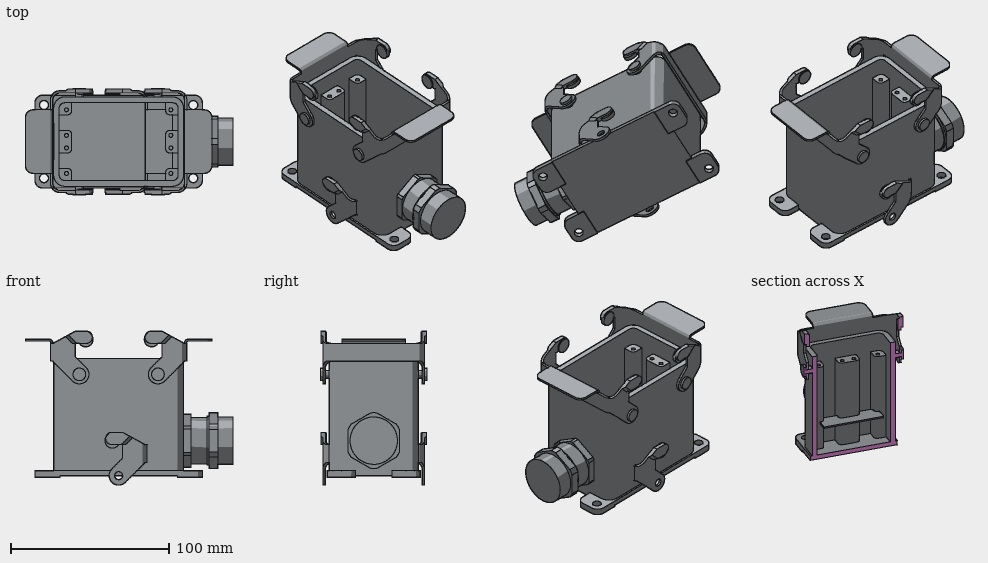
import cadquery as cq
import math

BOX_LENGTH = 82.0
BOX_WIDTH = 56.5
BOX_CORNER_RADIUS = 7.1
BOX_TOP = 75.1
CAVITY_LENGTH = 75.1
CAVITY_WIDTH = 49.1
CAVITY_CORNER_RADIUS = 3.4

FOOT_LENGTH = 106.0
FOOT_WIDTH = 58.8
FOOT_TOP = 4.2
FOOT_RECESS = 0.9
PAD_INNER_X = 37.0
PAD_GAP = 22.8
PAD_CORNER_RADIUS = 5.1
FOOT_HOLE_DIAMETER = 5.5
FOOT_HOLE_X = 47.1
FOOT_HOLE_Y = 23.1

BOSS_LENGTH = 7.9
CORNER_BOSS_WIDTH = 7.6
MIDDLE_BOSS_WIDTH = 14.3
BOSS_EDGE_RADIUS = 2.6
BOSS_DROP = 12.5
SCREW_HOLE_DIAMETER = 2.5
SCREW_HOLE_DEPTH = 10.5
SCREW_HOLE_X = 33.0
SCREW_HOLE_YS = (-20.1, -4.0, 4.0, 20.1)

PIN_X = 24.8
PIN_Z = 65.0
PIN_DIAMETER = 5.0
PIN_HEAD_DIAMETER = 8.0
PIN_SPAN = 67.4

SHEET = 1.6
LEVER_WIDTH = 64.3
LEVER_BEND_RADIUS = 5.9
EYE_RADIUS = 6.0
NECK_X = 2.5
WEB_OUTER_X = 18.3
WEB_BOTTOM = 8.4
WEB_TOP = 19.5
HOOK_TOP = 27.3
HOOK_END_X = -4.3
HOOK_OFFSET = 1.2
RAMP_START_X = 1.7
RAMP_END_X = 4.5
DISC_RADIUS = 4.7
DISC_X = -4.0
DISC_Z = 22.0
DISC_PROUD = 0.8
DISC_THICKNESS = 2.2
TAB_END_X = 34.1
TAB_TOP = 22.3
TAB_WIDTH = 40.3
TAB_SHEET = 1.3
TAB_BEND_RADIUS = 2.6
TAB_CORNER_RADIUS = 5.0
LOWER_PIVOT_Z = 1.0

GLAND_Z = 23.1
LOCKNUT_FLATS = 30.1
LOCKNUT_CORNERS = 33.6
LOCKNUT_END_X = 45.8
GLAND_BODY_DIAMETER = 29.5
GLAND_BODY_END_X = 55.9
COLLAR_DIAMETER = 31.0
COLLAR_END_X = 57.1
CAP_NUT_FLATS = 32.3
CAP_NUT_CORNERS = 35.3
CAP_NUT_END_X = 62.6
CAP_DIAMETER = 30.0
CAP_END_X = 72.3

SIDES = (-1, 1)


def block(x_range, y_range, z_range):
    """Box between the given pairs of coordinates, in either order."""
    ranges = [sorted(pair) for pair in (x_range, y_range, z_range)]
    sizes = [high - low for low, high in ranges]
    corner = tuple(low for low, high in ranges)
    return cq.Workplane("XY").box(*sizes, centered=False).translate(corner)


def rounded_block(length, width, radius, bottom, top):
    """Upright block centred on the Z axis with rounded vertical edges."""
    return (
        cq.Workplane("XY", origin=(0, 0, bottom))
        .rect(length, width)
        .extrude(top - bottom)
        .edges("|Z")
        .fillet(radius)
    )


def foot_pads():
    """Four mounting pads joined by a thinner base plate."""
    feet = block(
        (-PAD_INNER_X, PAD_INNER_X), (-FOOT_WIDTH / 2, FOOT_WIDTH / 2), (FOOT_RECESS, FOOT_TOP)
    )
    for side_x in SIDES:
        for side_y in SIDES:
            pad = block(
                (side_x * PAD_INNER_X, side_x * FOOT_LENGTH / 2),
                (side_y * PAD_GAP / 2, side_y * FOOT_WIDTH / 2),
                (0, FOOT_TOP),
            )
            outer_edges = "|Z and >X" if side_x > 0 else "|Z and <X"
            feet = feet.union(pad.edges(outer_edges).fillet(PAD_CORNER_RADIUS))
    return feet


def screw_bosses():
    """Corner and middle bosses standing on the floor along both cavity end walls."""
    boss_top = BOX_TOP - BOSS_DROP
    wall_x = BOX_LENGTH / 2
    face_x = CAVITY_LENGTH / 2 - BOSS_LENGTH
    corner_face_y = CAVITY_WIDTH / 2 - CORNER_BOSS_WIDTH
    strips = (
        (-BOX_WIDTH / 2, -corner_face_y),
        (-MIDDLE_BOSS_WIDTH / 2, MIDDLE_BOSS_WIDTH / 2),
        (corner_face_y, BOX_WIDTH / 2),
    )
    bosses = cq.Workplane("XY")
    for side in SIDES:
        free_edges = "|Z and <X" if side > 0 else "|Z and >X"
        for strip in strips:
            boss = block((side * face_x, side * wall_x), strip, (FOOT_TOP, boss_top))
            bosses = bosses.add(boss.edges(free_edges).fillet(BOSS_EDGE_RADIUS))
    envelope = rounded_block(BOX_LENGTH, BOX_WIDTH, BOX_CORNER_RADIUS, FOOT_TOP, boss_top)
    return bosses.combine().intersect(envelope)


def screw_holes():
    points = [(side * SCREW_HOLE_X, y) for side in SIDES for y in SCREW_HOLE_YS]
    return (
        cq.Workplane("XY", origin=(0, 0, BOX_TOP - BOSS_DROP))
        .pushPoints(points)
        .circle(SCREW_HOLE_DIAMETER / 2)
        .extrude(-SCREW_HOLE_DEPTH)
    )


def foot_holes():
    points = [(side_x * FOOT_HOLE_X, side_y * FOOT_HOLE_Y) for side_x in SIDES for side_y in SIDES]
    return cq.Workplane("XY").pushPoints(points).circle(FOOT_HOLE_DIAMETER / 2).extrude(FOOT_TOP)


def y_cylinder(x, z, diameter, y_start, y_end):
    """Cylinder along Y between two Y positions."""
    return (
        cq.Workplane("XZ", origin=(x, y_start, z)).circle(diameter / 2).extrude(y_start - y_end)
    )


def make_housing(crossing_lever):
    """Housing with feet, bosses and pivot pins, slotted where a lever crosses it."""
    housing = rounded_block(BOX_LENGTH, BOX_WIDTH, BOX_CORNER_RADIUS, FOOT_RECESS, BOX_TOP)
    housing = housing.union(foot_pads())
    housing = housing.cut(
        rounded_block(CAVITY_LENGTH, CAVITY_WIDTH, CAVITY_CORNER_RADIUS, FOOT_TOP, BOX_TOP)
    )
    housing = housing.union(screw_bosses()).cut(screw_holes()).cut(foot_holes())
    for side_x in SIDES:
        for side_y in SIDES:
            x = side_x * PIN_X
            wall_y = side_y * (BOX_WIDTH + CAVITY_WIDTH) / 4
            lever_face_y = side_y * LEVER_WIDTH / 2
            head_y = side_y * PIN_SPAN / 2
            housing = housing.union(y_cylinder(x, PIN_Z, PIN_DIAMETER, wall_y, lever_face_y))
            housing = housing.union(y_cylinder(x, PIN_Z, PIN_HEAD_DIAMETER, lever_face_y, head_y))
    return housing.cut(crossing_lever)


def lever_side_profile():
    """Lever seen from the side: eye, sloping arm, hook and the edge of the web."""
    eye_tangent = EYE_RADIUS / math.sqrt(2)
    arm_offset = EYE_RADIUS * math.sqrt(2)
    hook_radius = (HOOK_TOP - WEB_TOP) / 2
    return (
        cq.Workplane("XZ")
        .moveTo(-eye_tangent, eye_tangent)
        .threePointArc((-eye_tangent, -eye_tangent), (eye_tangent, -eye_tangent))
        .lineTo(WEB_BOTTOM + arm_offset, WEB_BOTTOM)
        .lineTo(WEB_OUTER_X, WEB_BOTTOM)
        .lineTo(WEB_OUTER_X, WEB_TOP)
        .lineTo(WEB_OUTER_X - SHEET, WEB_TOP)
        .lineTo(NECK_X, HOOK_TOP)
        .lineTo(HOOK_END_X, HOOK_TOP)
        .threePointArc((HOOK_END_X - hook_radius, WEB_TOP + hook_radius), (HOOK_END_X, WEB_TOP))
        .lineTo(NECK_X, WEB_TOP)
        .lineTo(NECK_X, NECK_X + arm_offset)
        .close()
    )


def lever_strap():
    """Sheet bent to a U in plan, trimmed to the side profile, with the pivot holes."""
    reach = 2 * WEB_OUTER_X
    strap = rounded_block(2 * reach, LEVER_WIDTH, LEVER_BEND_RADIUS, -EYE_RADIUS, HOOK_TOP)
    inside = rounded_block(
        2 * (reach - SHEET),
        LEVER_WIDTH - 2 * SHEET,
        LEVER_BEND_RADIUS - SHEET,
        -EYE_RADIUS,
        HOOK_TOP,
    )
    strap = strap.cut(inside).translate((WEB_OUTER_X - reach, 0, 0))
    strap = strap.intersect(lever_side_profile().extrude(LEVER_WIDTH / 2, both=True))
    return strap.cut(y_cylinder(0, 0, PIN_DIAMETER, -LEVER_WIDTH / 2, LEVER_WIDTH / 2))


def hook_pad():
    """Thickening on the -Y face of the hook, ending in a ramp along a 45 degree line."""
    face_y = -LEVER_WIDTH / 2
    pad = lever_side_profile().extrude(HOOK_OFFSET).translate((0, face_y, 0))
    ramp_axis = cq.Plane(origin=(0, face_y, WEB_TOP), xDir=(1, 0, -1), normal=(1, 0, 1))
    across = 1 / math.sqrt(2)
    pad_length = 2 * TAB_END_X
    wedge = (
        cq.Workplane(ramp_axis)
        .moveTo(-pad_length, 0)
        .lineTo(RAMP_END_X * across, 0)
        .lineTo(RAMP_START_X * across, -HOOK_OFFSET)
        .lineTo(-pad_length, -HOOK_OFFSET)
        .close()
        .extrude(pad_length, both=True)
    )
    above_arm = block(
        (HOOK_END_X - EYE_RADIUS, WEB_OUTER_X), (face_y - HOOK_OFFSET, face_y), (WEB_TOP, HOOK_TOP)
    )
    return pad.intersect(wedge).intersect(above_arm)


def hook_disc():
    """Round catch at the hook end, standing proud of the inner face of the -Y arm."""
    inner_y = -LEVER_WIDTH / 2 + SHEET + DISC_PROUD
    return y_cylinder(DISC_X, DISC_Z, 2 * DISC_RADIUS, inner_y, inner_y - DISC_THICKNESS)


def handle_tab():
    """Finger tab bent outward from the top of the web."""
    web_inner_x = WEB_OUTER_X - SHEET
    bend_x = web_inner_x + TAB_BEND_RADIUS
    bend_z = TAB_TOP - TAB_BEND_RADIUS
    inner_radius = TAB_BEND_RADIUS - TAB_SHEET
    cos_45 = math.sqrt(0.5)
    return (
        cq.Workplane("XZ")
        .moveTo(web_inner_x, WEB_BOTTOM)
        .lineTo(web_inner_x, bend_z)
        .threePointArc(
            (bend_x - TAB_BEND_RADIUS * cos_45, bend_z + TAB_BEND_RADIUS * cos_45),
            (bend_x, TAB_TOP),
        )
        .lineTo(TAB_END_X, TAB_TOP)
        .lineTo(TAB_END_X, TAB_TOP - TAB_SHEET)
        .lineTo(bend_x, TAB_TOP - TAB_SHEET)
        .threePointArc(
            (bend_x - inner_radius * cos_45, bend_z + inner_radius * cos_45),
            (bend_x - inner_radius, bend_z),
        )
        .lineTo(web_inner_x + TAB_SHEET, WEB_BOTTOM)
        .close()
        .extrude(TAB_WIDTH / 2, both=True)
        .edges("|Z and >X")
        .fillet(TAB_CORNER_RADIUS)
    )


def make_lever():
    hook_parts = hook_pad().union(hook_disc())
    lever = lever_strap().union(handle_tab())
    return lever.union(hook_parts).union(hook_parts.mirror("XZ"))


def x_cylinder(diameter, x_start, x_end):
    """Cylinder on the gland axis between two X positions."""
    return (
        cq.Workplane("YZ", origin=(x_start, 0, GLAND_Z)).circle(diameter / 2).extrude(x_end - x_start)
    )


def hex_nut(flats, corners, x_start, x_end):
    """Hexagon on the gland axis, flats facing +-Y, its corners turned to a diameter."""
    hexagon = (
        cq.Workplane("YZ", origin=(x_start, 0, GLAND_Z))
        .polygon(6, flats, circumscribed=True)
        .extrude(x_end - x_start)
    )
    return hexagon.intersect(x_cylinder(corners, x_start, x_end))


def make_gland():
    locknut = hex_nut(LOCKNUT_FLATS, LOCKNUT_CORNERS, BOX_LENGTH / 2, LOCKNUT_END_X)
    cap_nut = hex_nut(CAP_NUT_FLATS, CAP_NUT_CORNERS, COLLAR_END_X, CAP_NUT_END_X)
    return (
        locknut.union(x_cylinder(GLAND_BODY_DIAMETER, LOCKNUT_END_X, GLAND_BODY_END_X))
        .union(x_cylinder(COLLAR_DIAMETER, GLAND_BODY_END_X, COLLAR_END_X))
        .union(cap_nut)
        .union(x_cylinder(CAP_DIAMETER, CAP_NUT_END_X, CAP_END_X))
    )


upper_levers = []
for turn in (0, 180):
    upper_lever = make_lever().translate((PIN_X, 0, PIN_Z)).rotate((0, 0, 0), (0, 0, 1), turn)
    upper_levers.append(upper_lever)
lower_lever = make_lever().translate((0, 0, LOWER_PIVOT_Z))
housing = make_housing(lower_lever)
gland = make_gland()

bodies = [housing, gland, lower_lever, *upper_levers]
result = cq.Compound.makeCompound([body.solids().val() for body in bodies])